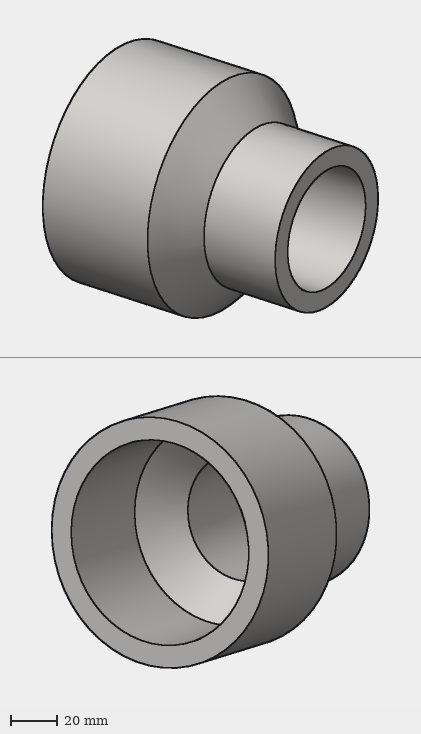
import cadquery as cq

total_length = 112.0
large_diameter = 110.0
large_bore = 90.0
small_diameter = 75.0
small_bore = 56.7
large_length = 56.3
large_bore_depth = 52.4

large_end = -total_length / 2
small_end = total_length / 2

outer_taper_start = large_end + large_length
outer_taper_end = outer_taper_start + (large_diameter - small_diameter) / 2
inner_taper_start = large_end + large_bore_depth
inner_taper_end = inner_taper_start + (large_bore - small_bore) / 2

wall_section = (
    cq.Workplane("XY")
    .moveTo(large_end, large_bore / 2)
    .lineTo(large_end, large_diameter / 2)
    .lineTo(outer_taper_start, large_diameter / 2)
    .lineTo(outer_taper_end, small_diameter / 2)
    .lineTo(small_end, small_diameter / 2)
    .lineTo(small_end, small_bore / 2)
    .lineTo(inner_taper_end, small_bore / 2)
    .lineTo(inner_taper_start, large_bore / 2)
    .close()
)

result = wall_section.revolve(360, (0, 0, 0), (1, 0, 0))